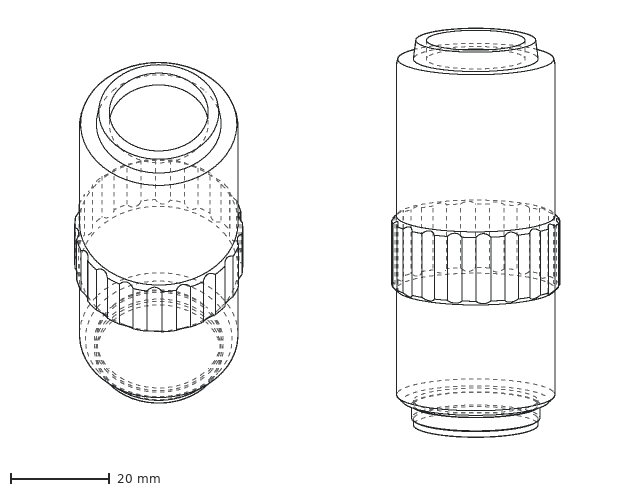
import cadquery as cq

total_height = 79.5
body_radius = 16.05
body_bottom = 5.0
body_bottom_chamfer = 1.2
top_rim_height = 3.9
top_edge_radial = 0.2
top_edge_height = 0.95

rim_base_radius = 12.65
rim_top_radius = 12.2
recess_radius = 10.0
recess_depth = top_rim_height

neck_radius = 12.65
thread_radius = 13.0
thread_bottom = 1.2
thread_top = 4.1
thread_chamfer_height = 0.2

grip_radius = 17.0
grip_bottom = 28.1
grip_top = 43.2
grip_chamfer = grip_radius - body_radius
flute_count = 18
flute_radius = 2.3
flute_depth = 0.6

shoulder_z = total_height - top_rim_height


def make_barrel():
    """Revolved barrel with the bottom thread and the tapered top rim."""
    half_profile = [
        (0, 0),
        (neck_radius, 0),
        (neck_radius, thread_bottom),
        (thread_radius, thread_bottom + thread_chamfer_height),
        (thread_radius, thread_top),
        (neck_radius, thread_top),
        (neck_radius, body_bottom),
        (body_radius - body_bottom_chamfer, body_bottom),
        (body_radius, body_bottom + body_bottom_chamfer),
        (body_radius, shoulder_z - top_edge_height),
        (body_radius - top_edge_radial, shoulder_z),
        (rim_base_radius, shoulder_z),
        (rim_top_radius, total_height),
        (0, total_height),
    ]
    return cq.Workplane("XZ").polyline(half_profile).close().revolve(360, (0, 0, 0), (0, 1, 0))


def make_grip():
    """Chamfered ring with evenly spaced vertical flutes."""
    height = grip_top - grip_bottom
    ring = (
        cq.Workplane("XY")
        .workplane(offset=grip_bottom)
        .circle(grip_radius)
        .extrude(height)
        .faces("<Z or >Z")
        .chamfer(grip_chamfer)
    )
    flute_circle_radius = grip_radius - flute_depth + flute_radius
    flutes = (
        cq.Workplane("XY")
        .workplane(offset=grip_bottom)
        .polarArray(flute_circle_radius, 90, 360, flute_count)
        .circle(flute_radius)
        .extrude(height)
    )
    return ring.cut(flutes)


def make_recess():
    """Round blind recess in the top rim."""
    return (
        cq.Workplane("XY")
        .workplane(offset=total_height - recess_depth)
        .circle(recess_radius)
        .extrude(recess_depth)
    )


result = make_barrel().union(make_grip()).cut(make_recess())